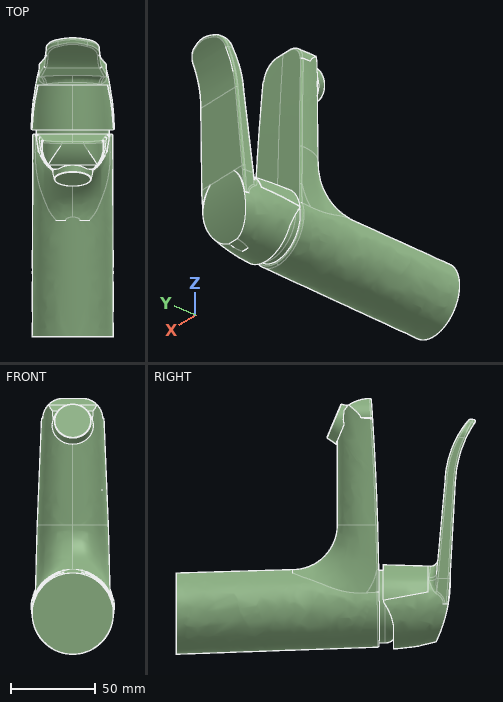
import cadquery as cq
import math


total_length = 177.62
total_height = 152.05
clearance = 5.0

inlet_radius = 24.2
body_rear_radius = 23.85
body_loft_y = 123.0
body_rear_axis_z = 28.2
rear_edge_fillet = 1.2

rear_face_radius = 1850.0
rear_apex_y = 120.6
rear_apex_z = 20.0

spout_front_y = 95.6
bend_radius = 26.5
bend_end_z = 50.4
spout_front_bend_z = bend_end_z + bend_radius
bend_end_half_width = 23.4
spout_fullness = 0.735
bend_end_fullness = math.sqrt(0.5)
spout_half_width_low = 21.2
spout_half_width_high = 18.1
crown_arc_mid = (107.6, 150.7)
crown_brow = (102.0, 147.9)
crown_chin = (99.6, 144.5)
nozzle_seat_mid = (98.2, 134.5)
nozzle_seat_foot_z = 125.0
shoulder_x = 17.9
crown_corner_height = 11.5
crown_half_width = 4.5
section_leg = 12.0
bend_end_leg = 0.5
bend_bulge = 9.0

nozzle_face_y = 93.6
nozzle_face_z = 138.6
nozzle_tilt = 23.0
nozzle_face_radius = 10.9
nozzle_base_radius = 12.3
nozzle_length = 6.5
nozzle_edge_chamfer = 0.3

collar_axis_z = 28.4
collar_radius = 21.7
collar_start_y = 112.0
collar_end_y = 131.0
collar_round = 7.0

cup_front_y = 122.8
cup_half_width = 24.75
cap_step = 0.3
cup_top_z = 53.3
cup_loft_bottom_z = 3.0
skirt_edge_y = 129.0
skirt_notch_start = (skirt_edge_y, 17.0)
skirt_notch_mid = (126.8, 24.5)
skirt_notch_end = (cup_front_y + 0.6, 30.5)
cap_edge_foot_z = 33.0
cup_heel = (154.3, 7.4)
cup_back_mid = (160.3, 24.0)
cup_back_top = (162.8, 48.0)
cup_under_y = 145.0
cup_under_z = 5.2
cup_middle = (148.0, 22.4, 5.6, 52.6)
cup_rear = (166.0, 18.0, 10.5, 51.8)
cap_step_front_z = 32.0
cap_step_rear_z = 37.1

lever_half_width_base = 20.0
lever_half_width_tip = 15.8
lever_base_z = 45.0
lever_tip_z = 139.6
lever_tip_corner = 11.0
lever_tip_crown = 1.6
lever_edge_fillet = 1.2
lever_root_z = 30.0
lever_bend_z = 102.3
lever_root_y = (152.9, 161.5)
lever_bend_y = (159.5, 165.8)
lever_front_mid = (163.6, 122.5)
lever_front_end = (176.2, 142.0)
lever_back_mid = (169.5, 122.0)
lever_back_end = (180.6, 142.0)
lever_corner_mid = (2.0, 6.5)
lever_corner_run = 7.0
inner_corner_fillet = 4.0
inner_corner_y = (152.0, 157.0)
inner_corner_z = (36.0, 54.0)
cap_rear_y = 149.6


def rear_y(z):
    """Y of the bowed rear face at height z."""
    return rear_apex_y - rear_face_radius + math.sqrt(rear_face_radius**2 - (z - rear_apex_z) ** 2)


def half_section(base, tip, half_width, fullness, leg):
    """Half (+X side) of a D section: a rounded quarter from tip to base plus a straight leg behind."""
    depth = math.hypot(tip[0] - base[0], tip[1] - base[1])
    toward_tip = cq.Vector(0, tip[0] - base[0], tip[1] - base[1]).normalized()
    across = cq.Vector(1, 0, 0)
    plane = cq.Plane(origin=(0, *base), xDir=across, normal=across.cross(toward_tip))
    return (
        cq.Workplane(plane)
        .moveTo(0, depth)
        .spline(
            [(half_width * fullness, depth * fullness), (half_width, 0)],
            tangents=[(1, 0), (0, -1)],
            includeCurrent=True,
        )
        .lineTo(half_width, -leg)
        .lineTo(0, -leg)
        .close()
        .val()
    )


def mirrored_loft(sections, ruled):
    """Loft the +X halves and join them with their mirror image."""
    half = cq.Workplane(cq.Solid.makeLoft(sections, ruled))
    return half.union(half.mirror("YZ"))


def make_body():
    """Slightly tapering tube body with its axis rising toward the rear."""
    front = cq.Wire.makeCircle(inlet_radius, cq.Vector(0, 0, inlet_radius), cq.Vector(0, 1, 0))
    rear_centre = cq.Vector(0, body_loft_y, body_rear_axis_z)
    rear = cq.Wire.makeCircle(body_rear_radius, rear_centre, cq.Vector(0, 1, 0))
    return cq.Workplane(cq.Solid.makeLoft([front, rear], True))


def make_crown_side():
    """Side outline of the straight spout with its sloping top."""
    low_z = spout_front_bend_z
    behind = rear_y(0) + section_leg
    before = spout_front_y - 1
    return (
        cq.Workplane("YZ")
        .moveTo(behind, low_z - 1)
        .lineTo(behind, total_height)
        .lineTo(rear_y(total_height), total_height)
        .threePointArc(crown_arc_mid, crown_brow)
        .lineTo(*crown_chin)
        .threePointArc(nozzle_seat_mid, (before, nozzle_seat_foot_z))
        .lineTo(before, low_z - 1)
        .close()
        .extrude(spout_half_width_low + clearance, both=True)
    )


def make_crown_front():
    """Front outline of the straight spout with its rounded shoulders."""
    low_z = spout_front_bend_z
    shoulder_z = total_height - crown_corner_height
    mid_x = crown_half_width + (shoulder_x - crown_half_width) * math.sqrt(0.5)
    mid_z = shoulder_z + crown_corner_height * math.sqrt(0.5)
    clear_x = spout_half_width_low + 2
    return (
        cq.Workplane("XZ", origin=(0, rear_apex_y + section_leg, 0))
        .moveTo(-clear_x, low_z - 1)
        .lineTo(-clear_x, shoulder_z - clearance)
        .lineTo(-shoulder_x, shoulder_z)
        .threePointArc((-mid_x, mid_z), (-crown_half_width, total_height))
        .lineTo(crown_half_width, total_height)
        .threePointArc((mid_x, mid_z), (shoulder_x, shoulder_z))
        .lineTo(clear_x, shoulder_z - clearance)
        .lineTo(clear_x, low_z - 1)
        .close()
        .extrude(rear_apex_y)
    )


def make_spout_shaft():
    """Straight D-section spout, narrowing upward, with a crowned and rounded top."""
    sections = []
    for z, half_width in [
        (spout_front_bend_z, spout_half_width_low),
        (total_height + 1, spout_half_width_high),
    ]:
        base = (rear_y(z), z)
        tip = (spout_front_y, z)
        sections.append(half_section(base, tip, half_width, spout_fullness, section_leg))
    return mirrored_loft(sections, True).intersect(make_crown_side()).intersect(make_crown_front())


def make_bend():
    """Saddle between spout and body: D sections fanned about the bend centre."""
    centre_y = spout_front_y - bend_radius
    centre_z = spout_front_bend_z
    reach_start = rear_y(centre_z) - centre_y
    steps = 4
    sections = []
    for step in range(steps + 1):
        share = step / steps
        angle = math.radians(90) * share
        tip = (centre_y + bend_radius * math.cos(angle), centre_z - bend_radius * math.sin(angle))
        half_width = spout_half_width_low + (bend_end_half_width - spout_half_width_low) * share
        reach = reach_start + bend_bulge * math.sin(2 * angle) ** 2
        base = (centre_y + reach * math.cos(angle), centre_z - reach * math.sin(angle))
        fullness = spout_fullness + (bend_end_fullness - spout_fullness) * share
        leg = section_leg * math.cos(angle) + bend_end_leg
        sections.append(half_section(base, tip, half_width, fullness, leg))
    return mirrored_loft(sections, False)


def make_spout_body():
    """Body, bend and spout, trimmed by the bowed rear face and rounded along its edge."""
    low_z, high_z = -20.0, 200.0
    behind = rear_apex_y + 60
    waste = (
        cq.Workplane("YZ")
        .moveTo(rear_y(low_z), low_z)
        .spline(
            [(rear_y(total_height / 2), total_height / 2), (rear_y(high_z), high_z)],
            includeCurrent=True,
        )
        .lineTo(behind, high_z)
        .lineTo(behind, low_z)
        .close()
        .extrude(60, both=True)
    )
    joined = make_body().union(make_bend()).union(make_spout_shaft()).cut(waste)
    return joined.faces(">Y").edges().fillet(rear_edge_fillet)


def make_nozzle():
    """Short tapering outlet, its face tilted upward."""
    tilt = math.radians(nozzle_tilt)
    outward = cq.Vector(0, -math.cos(tilt), math.sin(tilt))
    face_centre = cq.Vector(0, nozzle_face_y, nozzle_face_z)
    plane = cq.Plane(origin=face_centre.toTuple(), xDir=(1, 0, 0), normal=(outward * -1).toTuple())
    return (
        cq.Workplane(plane).circle(nozzle_face_radius)
        .workplane(offset=nozzle_length).circle(nozzle_base_radius).loft()
        .faces(cq.selectors.NearestToPointSelector(face_centre.toTuple()))
        .chamfer(nozzle_edge_chamfer)
    )


def make_collar():
    """Round collar between body and handle with a domed rear edge."""
    return (
        cq.Workplane("XZ", origin=(0, collar_start_y, collar_axis_z))
        .circle(collar_radius)
        .extrude(collar_start_y - collar_end_y)
        .faces(">Y").edges().fillet(collar_round)
    )


def cup_section(y, half_width, low_z, high_z):
    """Ellipse in the plane at y spanning the given heights."""
    half_height = (high_z - low_z) / 2
    centre = cq.Vector(0, y, (high_z + low_z) / 2)
    major, minor, x_dir = half_width, half_height, cq.Vector(1, 0, 0)
    if half_height > half_width:
        major, minor, x_dir = half_height, half_width, cq.Vector(0, 0, 1)
    return cq.Wire.makeEllipse(major, minor, centre, cq.Vector(0, -1, 0), x_dir)


def make_cup(inset):
    """Cup of the handle, narrowing toward the rear, its sides set in by the given amount."""
    front = (cup_front_y, cup_half_width, cup_loft_bottom_z, cup_top_z)
    sections = []
    for y, half_width, low_z, high_z in [front, cup_middle, cup_rear]:
        sections.append(cup_section(y, half_width - inset, low_z, high_z))
    return cq.Workplane(cq.Solid.makeLoft(sections, False))


def make_cup_side():
    """Side outline of the cup as a wide slab; its front edge is cut away below the step."""
    clear_z = cup_top_z + 7
    return (
        cq.Workplane("YZ")
        .moveTo(skirt_edge_y, 0)
        .lineTo(*skirt_notch_start)
        .threePointArc(skirt_notch_mid, skirt_notch_end)
        .lineTo(cup_front_y, cap_edge_foot_z)
        .lineTo(cup_front_y, clear_z)
        .lineTo(cup_back_top[0] - clearance, clear_z)
        .lineTo(*cup_back_top)
        .threePointArc(cup_back_mid, cup_heel)
        .lineTo(cup_under_y, cup_under_z)
        .lineTo(cup_under_y - clearance, 0)
        .close()
        .extrude(cup_half_width + clearance, both=True)
    )


def make_lever_side():
    """Side outline of the lever, straight and then bending rearward to the tip."""
    return (
        cq.Workplane("YZ")
        .moveTo(lever_root_y[0], lever_root_z)
        .lineTo(lever_bend_y[0], lever_bend_z)
        .threePointArc(lever_front_mid, lever_front_end)
        .lineTo(*lever_back_end)
        .threePointArc(lever_back_mid, (lever_bend_y[1], lever_bend_z))
        .lineTo(*cup_back_top)
        .lineTo(lever_root_y[1], lever_root_z)
        .close()
        .extrude(cup_half_width + clearance, both=True)
    )


def make_lever_front():
    """Front outline of the lever, narrowing upward to a crowned, round-cornered tip."""
    corner_z = lever_tip_z - lever_tip_corner
    crown_z = lever_tip_z - lever_tip_crown
    corner_mid = (lever_half_width_tip - lever_corner_mid[0], corner_z + lever_corner_mid[1])
    lever_front_depth = total_length + clearance - lever_root_y[0] + 1
    crown_x = lever_half_width_tip - lever_corner_run
    return (
        cq.Workplane("XZ", origin=(0, total_length + clearance, 0))
        .moveTo(-lever_half_width_base, lever_root_z)
        .lineTo(-lever_half_width_base, lever_base_z)
        .lineTo(-lever_half_width_tip, corner_z)
        .threePointArc((-corner_mid[0], corner_mid[1]), (-crown_x, crown_z))
        .threePointArc((0, lever_tip_z), (crown_x, crown_z))
        .threePointArc(corner_mid, (lever_half_width_tip, corner_z))
        .lineTo(lever_half_width_base, lever_base_z)
        .lineTo(lever_half_width_base, lever_root_z)
        .close()
        .extrude(lever_front_depth)
    )


def make_lever():
    """Lever blade with its front and back rims rounded."""
    lever = make_lever_front().intersect(make_lever_side())
    rim = []
    for edge in lever.edges().vals():
        along = edge.tangentAt(0.5)
        on_tip = edge.Center().z > lever_tip_z - lever_tip_crown
        crosses_face = abs(along.x) > 0.99 and not on_tip
        crosses_edge = abs(along.x) < 0.2 and abs(along.z) < 0.2
        above_root = edge.Center().z > lever_root_z + 1
        if above_root and not crosses_face and not crosses_edge:
            rim.append(edge)
    return lever.newObject(rim).fillet(lever_edge_fillet)


def make_cap_step():
    """Thin layer taken off the cup above a sloping line on its sides."""
    above_step = (
        cq.Workplane("YZ")
        .moveTo(cup_front_y - 1, cap_step_front_z)
        .lineTo(cap_rear_y, cap_step_rear_z)
        .lineTo(cap_rear_y, cup_top_z + clearance)
        .lineTo(cup_front_y - 1, cup_top_z + clearance)
        .close()
        .extrude(cup_half_width + clearance, both=True)
    )
    return make_cup(0.0).cut(make_cup(cap_step)).intersect(above_step)


def make_handle():
    """Cup and lever with a fillet where the lever rises from the cap."""
    handle = make_cup(0.0).intersect(make_cup_side()).union(make_lever())
    inner_corner = []
    for edge in handle.edges().vals():
        centre = edge.Center()
        rise = edge.endPoint() - edge.startPoint()
        in_y = inner_corner_y[0] < centre.y < inner_corner_y[1]
        in_z = inner_corner_z[0] < centre.z < inner_corner_z[1]
        if in_y and in_z and edge.geomType() == "BSPLINE" and abs(rise.y) < 2:
            inner_corner.append(edge)
    handle = handle.newObject(inner_corner).fillet(inner_corner_fillet)
    return handle.cut(make_cap_step())


result = make_spout_body().union(make_nozzle())
result = result.union(make_collar()).union(make_handle())